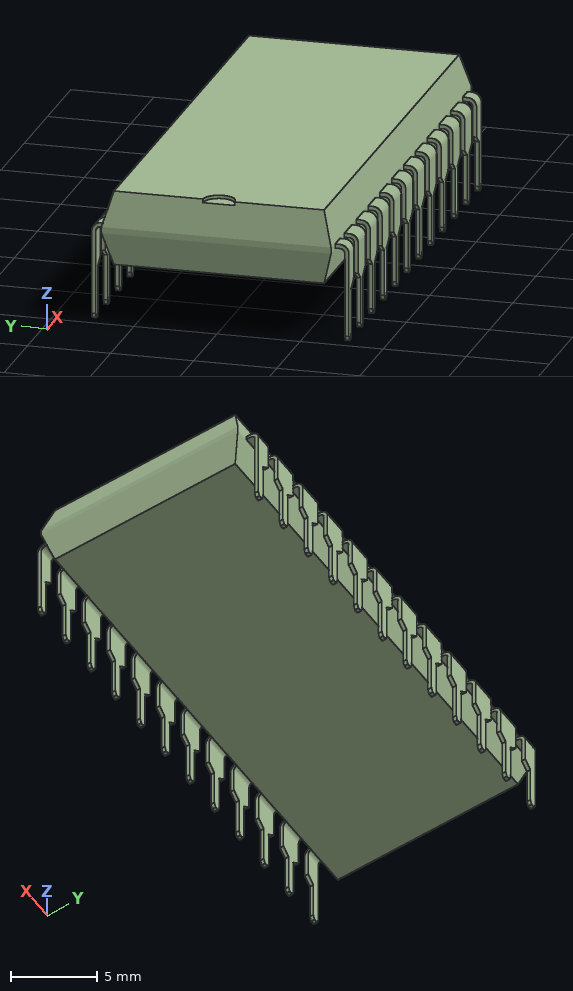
import cadquery as cq
import math

body_length = 30.2
body_width = 13.82
body_height = 4.5
band_height = 0.38
taper_inset = 0.58
taper_height = (body_height - band_height) / 2
taper_angle = math.degrees(math.atan(taper_inset / taper_height))

notch_radius = 0.95
notch_depth = 0.2

leads_per_side = 12
lead_pitch = 2.54
lead_span = 15.49
lead_thickness = 0.25
bend_inner_radius = 0.3
bend_outer_radius = bend_inner_radius + lead_thickness
shoulder_width = 1.57
pin_width = 0.51
shoulder_drop = 0.45
overall_height = 8.0
pin_chamfer_width = 0.12
pin_chamfer_height = 0.3

body_top = body_height / 2
lead_top = lead_thickness / 2
lead_tip = body_top - overall_height
shoulder_bottom = -body_top
pin_start = shoulder_bottom - shoulder_drop
lead_embed = 1.0


def make_body():
    """Band around the parting plane with a tapered block above and below it."""
    body = cq.Workplane("XY").box(body_length, body_width, band_height)
    upper = (
        cq.Workplane("XY", origin=(0, 0, band_height / 2))
        .rect(body_length, body_width)
        .extrude(taper_height, taper=taper_angle)
    )
    lower = upper.mirror("XY")
    return body.union(upper).union(lower)


def make_notch():
    """Round cutter centred on the -X edge of the top face."""
    top_edge_x = -body_length / 2 + taper_inset
    return (
        cq.Workplane("XY", origin=(top_edge_x, 0, body_top - notch_depth))
        .circle(notch_radius)
        .extrude(notch_depth)
    )


def make_bent_strip():
    """Side profile of a -Y lead, extruded to the full shoulder width about X = 0."""
    outer_y = -lead_span / 2
    inner_y = outer_y + lead_thickness
    bend_y = outer_y + bend_outer_radius
    bend_z = lead_top - bend_outer_radius
    root_y = -body_width / 2 + lead_embed
    diagonal = math.sqrt(0.5)
    outer_mid = (bend_y - bend_outer_radius * diagonal, bend_z + bend_outer_radius * diagonal)
    inner_mid = (bend_y - bend_inner_radius * diagonal, bend_z + bend_inner_radius * diagonal)
    return (
        cq.Workplane("YZ")
        .moveTo(root_y, lead_top)
        .lineTo(bend_y, lead_top)
        .threePointArc(outer_mid, (outer_y, bend_z))
        .lineTo(outer_y, lead_tip)
        .lineTo(inner_y, lead_tip)
        .lineTo(inner_y, bend_z)
        .threePointArc(inner_mid, (bend_y, lead_top - lead_thickness))
        .lineTo(root_y, lead_top - lead_thickness)
        .close()
        .extrude(shoulder_width / 2, both=True)
    )


def make_lead_outline(left_shoulder, right_shoulder):
    """Front outline of a lead; each shoulder is the half width on that side of the pin."""
    half_pin = pin_width / 2
    half_tip = half_pin - pin_chamfer_width
    chamfer_top = lead_tip + pin_chamfer_height
    points = [(-left_shoulder, lead_top)]
    if left_shoulder > half_pin:
        points += [(-left_shoulder, shoulder_bottom), (-half_pin, pin_start)]
    points += [
        (-half_pin, chamfer_top),
        (-half_tip, lead_tip),
        (half_tip, lead_tip),
        (half_pin, chamfer_top),
    ]
    if right_shoulder > half_pin:
        points += [(half_pin, pin_start), (right_shoulder, shoulder_bottom)]
    points.append((right_shoulder, lead_top))
    return cq.Workplane("XZ").polyline(points).close().extrude(lead_span)


def make_lead_row():
    """List of leads in the -Y row; the two end leads have a shoulder on their inner side only."""
    strip = make_bent_strip()
    half_shoulder = shoulder_width / 2
    half_pin = pin_width / 2
    leads = []
    for index in range(leads_per_side):
        left = half_pin if index == 0 else half_shoulder
        right = half_pin if index == leads_per_side - 1 else half_shoulder
        lead_x = (index - (leads_per_side - 1) / 2) * lead_pitch
        lead = strip.intersect(make_lead_outline(left, right)).translate((lead_x, 0, 0))
        leads.append(lead)
    return leads


result = make_body().cut(make_notch())
for front_lead in make_lead_row():
    back_lead = front_lead.mirror("XZ")
    result = result.union(front_lead).union(back_lead)